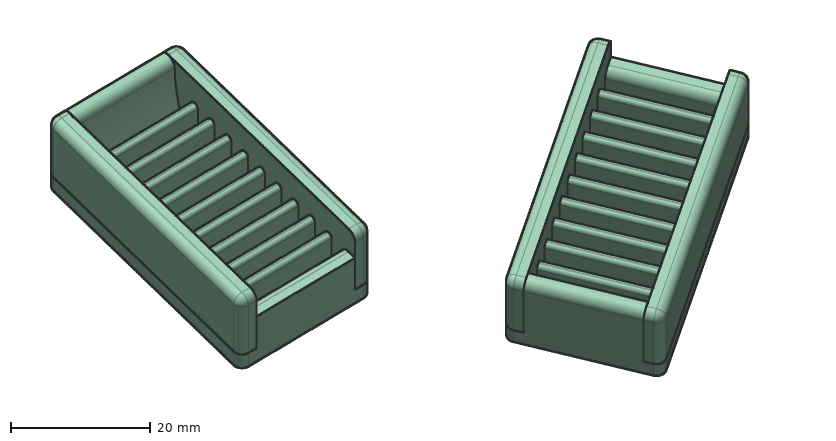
import cadquery as cq

length = 45.0
width = 24.0
height = 15.0

wall = 3.0
edge_radius = wall / 2
base_height = wall
low_wall_height = 10.0

slot_count = 10
divider_thickness = 1.5
divider_top = low_wall_height
divider_radius = 0.68

flare_depth = 2.0
floor_radius = 0.68

inner_start = -length / 2 + wall
inner_end = length / 2 - wall
inner_width = width - 2 * wall
crown_z = height - edge_radius
flare_foot = inner_start + flare_depth
slot_pitch = (inner_end - inner_start) / slot_count


def block(x_start, x_end, y_size, z_start, z_end):
    """Box between two X and two Z positions, centred on Y."""
    return (
        cq.Workplane("XY", origin=((x_start + x_end) / 2, 0, z_start))
        .box(x_end - x_start, y_size, z_end - z_start, centered=(True, True, False))
    )


def make_envelope():
    """Outer block, rounded at its upright corners and around its top."""
    envelope = block(-length / 2, length / 2, width, 0, height)
    return envelope.edges("|Z or >Z").fillet(edge_radius)


def make_tall_wall():
    """End wall with a fully rounded top and an inner face that flares towards the floor."""
    return (
        cq.Workplane("XZ", origin=(0, inner_width / 2, 0))
        .moveTo(-length / 2, base_height)
        .lineTo(-length / 2, crown_z)
        .threePointArc((-length / 2 + edge_radius, height), (inner_start, crown_z))
        .tangentArcPoint((flare_foot, base_height), relative=False)
        .close()
        .extrude(inner_width)
    )


def make_low_wall():
    """Lower end wall, rounded along its inner top edge."""
    low_wall = block(inner_end, length / 2, inner_width, base_height, low_wall_height)
    return low_wall.edges("|Y and >Z and <X").fillet(edge_radius)


def make_tray(envelope):
    """Base plate with both end walls, rounded where the tall wall meets the floor."""
    base = block(-length / 2, length / 2, width, 0, base_height).intersect(envelope)
    tray = base.union(make_tall_wall()).union(make_low_wall())
    floor_corner = cq.selectors.NearestToPointSelector((flare_foot, 0, base_height))
    return tray.edges(floor_corner).fillet(floor_radius)


def make_divider(x_start):
    """Thin upright plate across the rack, rounded along its top."""
    divider = block(x_start, x_start + divider_thickness, inner_width, base_height, divider_top)
    return divider.edges("|Y and >Z").fillet(divider_radius)


def make_rack(envelope):
    """Two side walls joined by the row of dividers."""
    walls = block(-length / 2, length / 2, width, base_height, height)
    gap = block(-length / 2, length / 2, inner_width, base_height, height)
    rack = walls.cut(gap).intersect(envelope)
    for i in range(1, slot_count):
        rack = rack.union(make_divider(inner_start + i * slot_pitch))
    return rack


envelope = make_envelope()
tray = make_tray(envelope)
rack = make_rack(envelope)

result = cq.Compound.makeCompound([tray.val(), rack.val()])